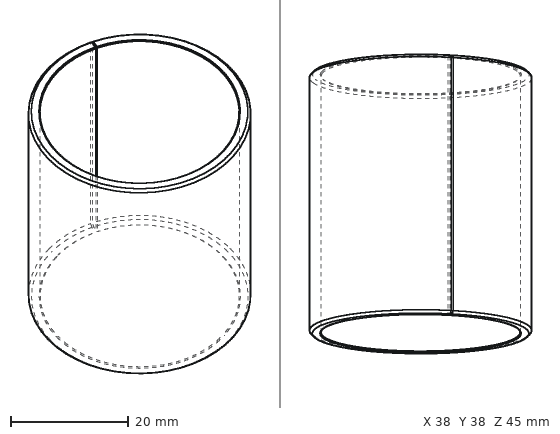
import cadquery as cq

length = 45.0
outer_diameter = 38.0
wall = 2.0
slit_angle = 1.0
outer_chamfer = 0.5
inner_chamfer = 0.2

outer_radius = outer_diameter / 2
inner_radius = outer_radius - wall
half_length = length / 2

wall_section = cq.Workplane("XZ").polyline([
    (-inner_radius, half_length - inner_chamfer),
    (-inner_radius - inner_chamfer, half_length),
    (-outer_radius + outer_chamfer, half_length),
    (-outer_radius, half_length - outer_chamfer),
    (-outer_radius, -half_length + outer_chamfer),
    (-outer_radius + outer_chamfer, -half_length),
    (-inner_radius - inner_chamfer, -half_length),
    (-inner_radius, -half_length + inner_chamfer),
]).close()

result = wall_section.revolve(360 - slit_angle, (0, 0, 0), (0, 1, 0))